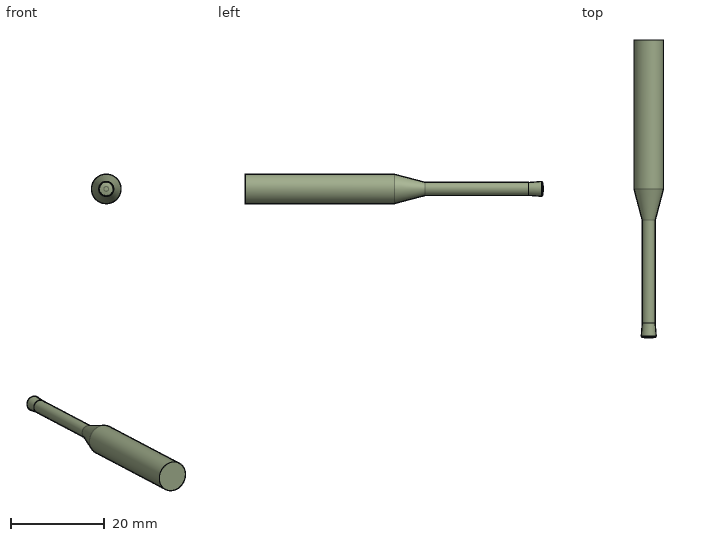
import cadquery as cq

TOTAL_LENGTH = 63.5
SHANK_DIAMETER = 6.35
SHANK_LENGTH = 31.75
CONE_LENGTH = 6.6
NECK_DIAMETER = 2.85

HEAD_LENGTH = 3.2
HEAD_BACK_DIAMETER = 2.8
HEAD_DIAMETER = 3.25
RIM_WIDTH = 0.25
FACE_DIAMETER = 3.0
CROWN_HEIGHT = 0.16
TIP_FLAT_DIAMETER = 1.0

TIP_Y = -TOTAL_LENGTH / 2
BACK_Y = TOTAL_LENGTH / 2
FACE_EDGE_Y = TIP_Y + CROWN_HEIGHT
RIM_Y = FACE_EDGE_Y + RIM_WIDTH
HEAD_BACK_Y = TIP_Y + HEAD_LENGTH
CONE_BACK_Y = BACK_Y - SHANK_LENGTH
CONE_FRONT_Y = CONE_BACK_Y - CONE_LENGTH

SHANK_RADIUS = SHANK_DIAMETER / 2
NECK_RADIUS = NECK_DIAMETER / 2
HEAD_BACK_RADIUS = HEAD_BACK_DIAMETER / 2
HEAD_RADIUS = HEAD_DIAMETER / 2
FACE_RADIUS = FACE_DIAMETER / 2
TIP_FLAT_RADIUS = TIP_FLAT_DIAMETER / 2

CROWN_WIDTH = FACE_RADIUS - TIP_FLAT_RADIUS
CROWN_RADIUS = (CROWN_WIDTH**2 + CROWN_HEIGHT**2) / (2 * CROWN_HEIGHT)


def revolve_about_tool_axis(profile):
    """Turn a closed half profile, drawn as (radius, y), about the Y axis."""
    return profile.close().revolve(360, (0, 0, 0), (0, 1, 0))


def make_holder():
    """Cylindrical shank, conical transition and slim neck."""
    profile = (
        cq.Workplane("XY")
        .moveTo(0, BACK_Y)
        .lineTo(SHANK_RADIUS, BACK_Y)
        .lineTo(SHANK_RADIUS, CONE_BACK_Y)
        .lineTo(NECK_RADIUS, CONE_FRONT_Y)
        .lineTo(NECK_RADIUS, HEAD_BACK_Y)
        .lineTo(0, HEAD_BACK_Y)
    )
    return revolve_about_tool_axis(profile)


def make_cutting_head():
    """Slightly flared head with a narrow rim, a crowned end face and a small central flat."""
    profile = (
        cq.Workplane("XY")
        .moveTo(0, HEAD_BACK_Y)
        .lineTo(HEAD_BACK_RADIUS, HEAD_BACK_Y)
        .lineTo(HEAD_RADIUS, RIM_Y)
        .lineTo(FACE_RADIUS, FACE_EDGE_Y)
        .radiusArc((TIP_FLAT_RADIUS, TIP_Y), CROWN_RADIUS)
        .lineTo(0, TIP_Y)
    )
    return revolve_about_tool_axis(profile)


holder = make_holder()
cutting_head = make_cutting_head()

result = cq.Compound.makeCompound([holder.val(), cutting_head.val()])